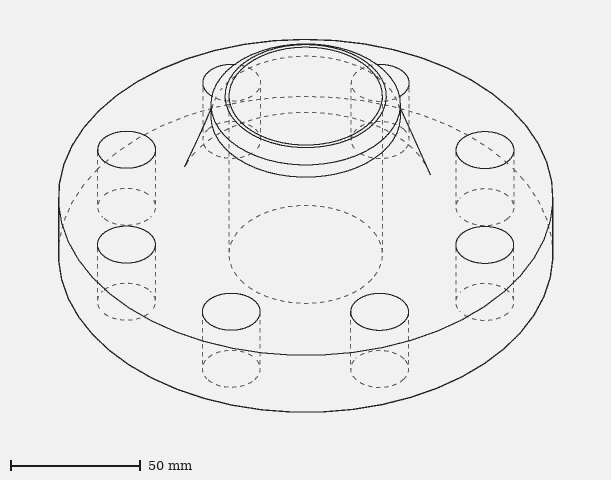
import cadquery as cq
import math


flange_diameter = 190.5
flange_thickness = 28.5

bolt_count = 8
bolt_circle_diameter = 149.3
bolt_hole_diameter = 22.3

total_height = 79.2
bore_diameter = 59.0
hub_base_diameter = 100.0
hub_fillet_radius = 3.5
neck_diameter = 73.0
neck_length = 10.3
weld_land = 1.5
bevel_angle = 37.5

bore_radius = bore_diameter / 2
neck_radius = neck_diameter / 2
land_radius = bore_radius + weld_land
cone_top = total_height - neck_length
bevel_height = (neck_radius - land_radius) * math.tan(math.radians(bevel_angle))


def make_disc():
    return cq.Workplane("XY").circle(flange_diameter / 2).extrude(flange_thickness)


def make_hub():
    """Cone, straight neck and weld bevel as one turned profile."""
    profile = (
        cq.Workplane("XZ")
        .moveTo(0, 0)
        .lineTo(hub_base_diameter / 2, 0)
        .lineTo(hub_base_diameter / 2, flange_thickness)
        .lineTo(neck_radius, cone_top)
        .lineTo(neck_radius, total_height - bevel_height)
        .lineTo(land_radius, total_height)
        .lineTo(0, total_height)
        .close()
    )
    return profile.revolve(360, (0, 0, 0), (0, 1, 0))


def round_hub_root(body):
    """Fillet the circle where the cone meets the disc."""
    reach = hub_base_diameter / 2 + hub_fillet_radius
    margin = hub_fillet_radius / 2
    root_edge = cq.selectors.BoxSelector(
        (-reach, -reach, flange_thickness - margin),
        (reach, reach, flange_thickness + margin),
        boundingbox=True,
    )
    return body.edges(root_edge).fillet(hub_fillet_radius)


def cut_bore(body):
    bore = cq.Workplane("XY").circle(bore_radius).extrude(total_height)
    return body.cut(bore)


def cut_bolt_holes(body):
    holes = (
        cq.Workplane("XY")
        .polarArray(bolt_circle_diameter / 2, 0, 360, bolt_count)
        .circle(bolt_hole_diameter / 2)
        .extrude(flange_thickness)
    )
    return body.cut(holes)


flange = make_disc().union(make_hub())
flange = round_hub_root(flange)
flange = cut_bore(flange)
result = cut_bolt_holes(flange)